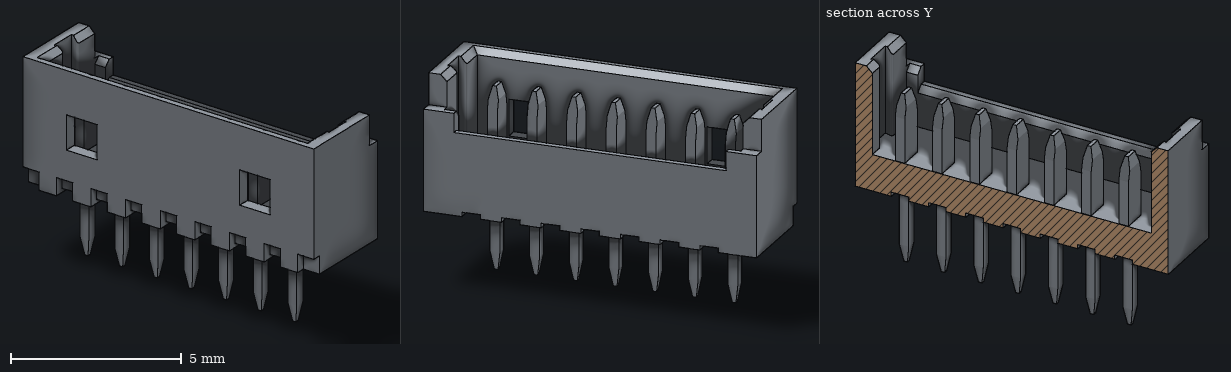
import cadquery as cq

length = 10.5
width = 3.2
height = 4.2
front_y = -width / 2
back_y = width / 2

long_wall = 0.4
end_wall = 0.58
floor_z = 1.25
cavity_length = length - 2 * end_wall
cavity_front_y = front_y + long_wall
cavity_back_y = back_y - long_wall
lead_in = 0.2
lead_in_depth = 0.2

shoulder_z = 3.2
back_wall_z = 2.6
back_opening = 8.58

keyway_width = 0.86
keyway_mouth = 0.71
keyway_round = 0.06
keyway_reach = 4.95

window_width = 1.1
window_height = 1.15
window_bottom_z = 1.6
window_x = 3.125

notch_width = 0.58
notch_height = 0.6
notch_depth = 0.28
channel_height = 0.14

pin_count = 7
pitch = 1.25
pin_y = -0.44
pin_side = 0.32
pin_tip = 0.12
pin_bottom_z = -2.3
lower_taper = 0.6
blade_y = -0.46
blade_depth = 0.75
blade_tip_depth = 0.41
blade_top_z = 3.49
blade_side_taper = 0.4
blade_edge_taper = 0.75

pin_positions = [(i - (pin_count - 1) / 2) * pitch for i in range(pin_count)]


def block(x_range, y_range, z_range):
    """Axis-aligned box spanning the given ranges."""
    (x0, x1), (y0, y1), (z0, z1) = x_range, y_range, z_range
    return cq.Workplane("XY").box(x1 - x0, y1 - y0, z1 - z0, centered=False).translate((x0, y0, z0))


def centred_block(x, x_size, y_range, z_range):
    """Box centred on x."""
    return block((x - x_size / 2, x + x_size / 2), y_range, z_range)


def frustum(x, y, z_start, start_size, z_end, end_size):
    """Rectangular taper between two heights."""
    return (
        cq.Workplane("XY", origin=(x, y, z_start))
        .rect(*start_size)
        .workplane(offset=z_end - z_start)
        .rect(*end_size)
        .loft(ruled=True)
    )


def back_lead_in(top_z, span):
    """Wedge that bevels the inner edge of the back wall where its top is at top_z."""
    return (
        cq.Workplane("YZ", origin=(-span / 2, 0, 0))
        .moveTo(cavity_back_y, top_z - lead_in_depth)
        .lineTo(cavity_back_y + lead_in, top_z)
        .lineTo(cavity_back_y, top_z)
        .close()
        .extrude(span)
    )


def make_mouth():
    """Bevel around the front and ends of the cavity mouth."""
    bevel_length = cavity_length + 2 * lead_in
    cavity_y = (cavity_front_y + cavity_back_y) / 2
    cavity_width = cavity_back_y - cavity_front_y
    mouth = frustum(
        0, cavity_y, height - lead_in_depth, (cavity_length, cavity_width),
        height, (bevel_length, cavity_width + 2 * lead_in),
    )
    return mouth


def make_cavity():
    """Mating cavity with a dovetail keyway at each end, rounded at the keyway mouths."""
    cavity = centred_block(0, cavity_length, (cavity_front_y, cavity_back_y), (floor_z, height))
    for side in (-1, 1):
        mouth_x = side * cavity_length / 2
        keyway = (
            cq.Workplane("XY", origin=(0, 0, floor_z))
            .moveTo(0, -keyway_mouth / 2)
            .lineTo(mouth_x, -keyway_mouth / 2)
            .lineTo(side * keyway_reach, -keyway_width / 2)
            .lineTo(side * keyway_reach, keyway_width / 2)
            .lineTo(mouth_x, keyway_mouth / 2)
            .lineTo(0, keyway_mouth / 2)
            .close()
            .extrude(height - floor_z)
        )
        cavity = cavity.union(keyway)
        mouth = cq.selectors.BoxSelector(
            (mouth_x - keyway_round, -keyway_width / 2, floor_z),
            (mouth_x + keyway_round, keyway_width / 2, height),
        )
        cavity = cavity.edges("|Z").edges(mouth).fillet(keyway_round)
    return cavity


def make_housing():
    """Open-topped shroud with a lowered back wall."""
    body = centred_block(0, length, (front_y, back_y), (0, height))
    body = body.cut(make_cavity())
    body = body.cut(centred_block(0, length, (cavity_back_y, back_y), (shoulder_z, height)))
    body = body.cut(centred_block(0, back_opening, (cavity_back_y, back_y), (back_wall_z, height)))
    body = body.cut(make_mouth())
    body = body.cut(back_lead_in(shoulder_z, cavity_length))
    body = body.cut(back_lead_in(back_wall_z, back_opening))
    return body


def cut_windows(body):
    """Two rectangular windows through the front wall."""
    window_z = (window_bottom_z, window_bottom_z + window_height)
    for x in (-window_x, window_x):
        body = body.cut(centred_block(x, window_width, (front_y, cavity_front_y), window_z))
    return body


def cut_underside(body):
    """Front notches at the corners and pins, and a shallow channel across at each pin."""
    notch_y = (front_y, front_y + notch_depth)
    corner_x = (length - notch_width) / 2
    for x in [-corner_x, *pin_positions, corner_x]:
        body = body.cut(centred_block(x, notch_width, notch_y, (0, notch_height)))
    for x in pin_positions:
        body = body.cut(centred_block(x, notch_width, (front_y, back_y), (0, channel_height)))
    return body


def make_blade(x):
    """Upper blade whose sides and edges taper to a small flat tip, the edges over a longer height."""
    half_side = pin_side / 2
    half_depth = blade_depth / 2
    side_profile = (
        cq.Workplane("XZ", origin=(x, blade_y + half_depth, 0))
        .moveTo(-half_side, floor_z)
        .lineTo(-half_side, blade_top_z - blade_side_taper)
        .lineTo(-pin_tip / 2, blade_top_z)
        .lineTo(pin_tip / 2, blade_top_z)
        .lineTo(half_side, blade_top_z - blade_side_taper)
        .lineTo(half_side, floor_z)
        .close()
        .extrude(blade_depth)
    )
    edge_profile = (
        cq.Workplane("YZ", origin=(x - half_side, blade_y, 0))
        .moveTo(-half_depth, floor_z)
        .lineTo(-half_depth, blade_top_z - blade_edge_taper)
        .lineTo(-blade_tip_depth / 2, blade_top_z)
        .lineTo(blade_tip_depth / 2, blade_top_z)
        .lineTo(half_depth, blade_top_z - blade_edge_taper)
        .lineTo(half_depth, floor_z)
        .close()
        .extrude(pin_side)
    )
    return side_profile.intersect(edge_profile)


def make_pin(x):
    """Square solder tail below and a deeper tapered blade above the cavity floor."""
    tail_z = pin_bottom_z + lower_taper
    pin_y_range = (pin_y - pin_side / 2, pin_y + pin_side / 2)
    tail = centred_block(x, pin_side, pin_y_range, (tail_z, floor_z))
    tail_tip = frustum(x, pin_y, tail_z, (pin_side, pin_side), pin_bottom_z, (pin_tip, pin_tip))
    return tail.union(tail_tip).union(make_blade(x))


connector = cut_underside(cut_windows(make_housing()))
for pin_x in pin_positions:
    connector = connector.union(make_pin(pin_x))

result = connector